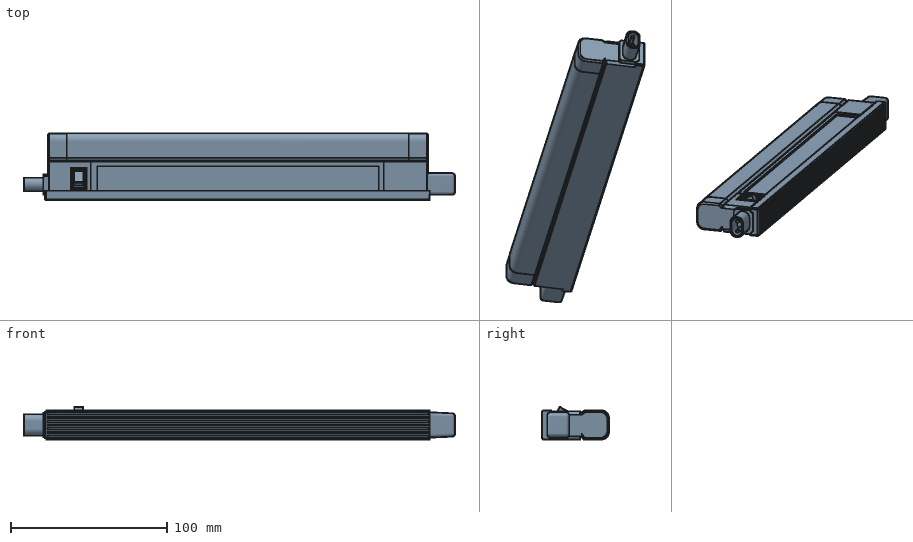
import cadquery as cq

length = 276.0
depth = 43.0
thickness = 18.8
half_thickness = thickness / 2

body_start = 15.2
body_end = 259.0
end_bevel = 1.0
back_radius = 5.2

notch_back = 26.8
notch_floor_back = 25.5
notch_front = 24.5
notch_depth = 2.0

rear_cap_inset = 0.15
rear_cap_length = 12.5

rail_depth = 6.0
rail_bevel = 0.8
rail_end_margin = 0.8
rail_plate_length = 1.0
rail_plate_inset = 0.8
groove_count = 7
groove_pitch = 2.4
groove_width = 1.0
groove_depth = 1.0

cap_step = 0.5
panel_start = 42.8
panel_end = 230.5
panel_step = 0.3
window_start = 47.0
window_end = 227.1
window_back = 21.8
window_depth = 1.5
taper_height = 2.2

switch_x = 35.0
switch_y = 13.65
switch_length = 14.4
switch_width = 10.2
switch_rim = 0.97
switch_rim_gap = 0.5
switch_recess = 1.5
rocker_width = 5.8
rocker_rise = 2.2
rocker_back = 18.5
rocker_back_height = 0.5
rocker_bend = 13.2
rocker_bend_rise = 1.0
rocker_crest_back = 12.0
rocker_crest_front = 11.3
rocker_front = 9.5

inlet_y = 10.2
inlet_flange_start = 12.5
inlet_flange_width = 13.0
inlet_flange_height = 15.7
inlet_flange_front_bevel = 2.0
inlet_flange_back_bevel = 1.0
inlet_width = 8.8
inlet_height = 13.8
inlet_wall = 1.0
inlet_cavity_depth = 11.0
pin_diameter = 2.0
pin_offset = 3.3
pin_recess = 1.5

outlet_y = 10.5
outlet_width = 14.0
outlet_height = 15.0
outlet_base_height = 16.5
outlet_radius = 2.2


def box(x_range, y_range, z_range):
    sizes = [high - low for low, high in (x_range, y_range, z_range)]
    corner = (x_range[0], y_range[0], z_range[0])
    return cq.Workplane("XY").box(*sizes, centered=False).translate(corner)


def block_along_x(x_start, x_end, y_mid, width, height):
    half_width = width / 2
    half_height = height / 2
    return box((x_start, x_end), (y_mid - half_width, y_mid + half_width), (-half_height, half_height))


def rear_bar(x_start, x_end, inset):
    half_height = half_thickness - inset
    bar = box((x_start, x_end), (notch_floor_back, depth - inset), (-half_height, half_height))
    bar = bar.edges("|X and >Y").fillet(back_radius - inset)
    return bar.edges("|X and <Y").chamfer(notch_depth - inset, notch_back - notch_floor_back)


def make_rear_block():
    middle = rear_bar(body_start + rear_cap_length, body_end - rear_cap_length, 0)
    left_cap = rear_bar(body_start, body_start + rear_cap_length, rear_cap_inset)
    right_cap = rear_bar(body_end - rear_cap_length, body_end, rear_cap_inset)
    left_cap = left_cap.faces("<X").edges("not(<Y)").chamfer(end_bevel)
    right_cap = right_cap.faces(">X").edges("not(<Y)").chamfer(end_bevel)
    return middle.union(left_cap).union(right_cap)


def make_front_section():
    cap_top = half_thickness - cap_step
    web = half_thickness - notch_depth
    section = box((body_start, body_end), (rail_depth, notch_front), (-half_thickness, cap_top))
    section = section.edges("|Y").chamfer(taper_height, end_bevel)
    web_block = box((body_start, body_end), (notch_front, notch_floor_back), (-web, web))
    panel = box((panel_start, panel_end), (rail_depth, notch_front), (cap_top - panel_step, cap_top))
    window = box((window_start, window_end), (rail_depth, window_back), (cap_top - window_depth, cap_top))
    return section.union(web_block).cut(panel).cut(window)


def make_rail():
    start = body_start - rail_end_margin
    end = body_end + rail_end_margin
    rail = box((start, end), (0, rail_depth), (-half_thickness, half_thickness))
    rail = rail.edges("|X and <Y").chamfer(rail_bevel)
    for index in range(groove_count):
        z = (index - (groove_count - 1) / 2) * groove_pitch
        rail = rail.cut(
            box((body_start, body_end), (0, groove_depth), (z - groove_width / 2, z + groove_width / 2))
        )
    plate_half_height = half_thickness - rail_plate_inset
    plate = box((start - rail_plate_length, start), (0, rail_depth), (-plate_half_height, plate_half_height))
    plate = plate.edges("<X and <Y").chamfer(rail_bevel)
    return rail.union(plate)


def switch_prism(length_y, width_x, height):
    return (
        cq.Workplane("XY", origin=(switch_x, switch_y, half_thickness - cap_step))
        .rect(width_x, length_y)
        .extrude(-height)
    )


def cut_switch_opening(body):
    inset = 2 * switch_rim_gap
    rim_gap = switch_prism(switch_length, switch_width, switch_rim_gap)
    rim = switch_prism(switch_length - inset, switch_width - inset, switch_rim_gap)
    opening_inset = inset + 2 * switch_rim
    opening = switch_prism(switch_length - opening_inset, switch_width - opening_inset, switch_recess)
    return body.cut(rim_gap.cut(rim)).cut(opening)


def make_rocker():
    floor = half_thickness - cap_step - switch_recess
    crest = half_thickness + rocker_rise
    profile = [
        (rocker_back, floor),
        (rocker_back, floor + rocker_back_height),
        (rocker_bend, half_thickness + rocker_bend_rise),
        (rocker_crest_back, crest),
        (rocker_crest_front, crest),
        (rocker_front, floor),
    ]
    return (
        cq.Workplane("YZ", origin=(switch_x - rocker_width / 2, 0, 0))
        .polyline(profile)
        .close()
        .extrude(rocker_width)
    )


def inlet_oval(height, width, distance):
    return cq.Workplane("YZ", origin=(0, inlet_y, 0)).slot2D(height, width, 90).extrude(distance)


def make_inlet():
    flange = block_along_x(
        inlet_flange_start, body_start + end_bevel, inlet_y, inlet_flange_width, inlet_flange_height
    )
    flange = flange.edges("|X and <Y").chamfer(inlet_flange_front_bevel)
    flange = flange.edges("|X and >Y").chamfer(inlet_flange_back_bevel)
    barrel = inlet_oval(inlet_height, inlet_width, inlet_flange_start)
    cavity = inlet_oval(inlet_height - 2 * inlet_wall, inlet_width - 2 * inlet_wall, inlet_cavity_depth)
    pins = (
        cq.Workplane("YZ", origin=(pin_recess, inlet_y, 0))
        .pushPoints([(0, pin_offset), (0, -pin_offset)])
        .circle(pin_diameter / 2)
        .extrude(inlet_flange_start - pin_recess)
    )
    return flange.union(barrel).cut(cavity).union(pins)


def make_outlet():
    start = body_end - end_bevel
    profile = [
        (start, -outlet_base_height / 2),
        (length, -outlet_height / 2),
        (length, outlet_height / 2),
        (start, outlet_base_height / 2),
    ]
    plug = (
        cq.Workplane("XZ", origin=(0, outlet_y + outlet_width / 2, 0))
        .polyline(profile)
        .close()
        .extrude(outlet_width)
    )
    return plug.edges("not(<X)").fillet(outlet_radius)


body = make_rear_block().union(make_front_section()).union(make_rail())
body = cut_switch_opening(body).union(make_rocker())
result = body.union(make_inlet()).union(make_outlet())